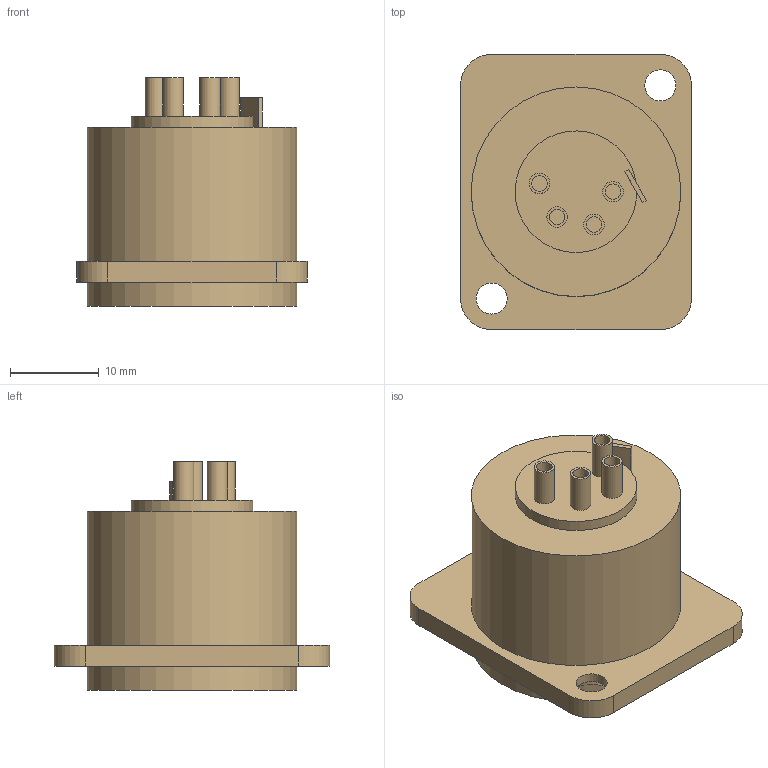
import cadquery as cq

FLANGE_WIDTH = 26.0
FLANGE_LENGTH = 31.0
FLANGE_THICKNESS = 2.35
CORNER_RADIUS = 3.5
SCREW_HOLE_DIAMETER = 3.5
COUNTERSINK_DIAMETER = 6.1
COUNTERSINK_ANGLE = 90.0

BODY_DIAMETER = 23.6
FRONT_LIP_HEIGHT = 2.7
BODY_TOP = 20.15

DISC_DIAMETER = 13.7
DISC_HEIGHT = 1.25
DISC_TOP = BODY_TOP + DISC_HEIGHT

OVERALL_HEIGHT = 25.7
CUP_HEIGHT = OVERALL_HEIGHT - DISC_TOP
CUP_DIAMETER = 2.3
CUP_BORE_DIAMETER = 1.75
CUP_CENTRES = [(-4.12, 0.93), (-2.13, -2.85), (2.03, -3.7), (4.17, 0.0)]

TAB_LENGTH = 4.0
TAB_THICKNESS = 0.5
TAB_HEIGHT = 3.3
TAB_CENTRE = (6.71, 0.64)
TAB_ANGLE = -60.0


def cylinder(diameter, bottom, top, centre=(0, 0)):
    """Upright cylinder between two heights."""
    return (
        cq.Workplane("XY", origin=(*centre, bottom))
        .circle(diameter / 2)
        .extrude(top - bottom)
    )


def make_flange():
    """Rounded plate with two diagonal screw holes, concentric with its corners and countersunk below."""
    hole_x = FLANGE_WIDTH / 2 - CORNER_RADIUS
    hole_y = FLANGE_LENGTH / 2 - CORNER_RADIUS
    plate = (
        cq.Workplane("XY")
        .rect(FLANGE_WIDTH, FLANGE_LENGTH)
        .extrude(FLANGE_THICKNESS)
        .edges("|Z")
        .fillet(CORNER_RADIUS)
    )
    drilled = (
        plate.faces("<Z")
        .workplane(origin=(0, 0, 0))
        .pushPoints([(hole_x, -hole_y), (-hole_x, hole_y)])
        .cskHole(SCREW_HOLE_DIAMETER, COUNTERSINK_DIAMETER, COUNTERSINK_ANGLE)
    )
    return drilled.translate((0, 0, FRONT_LIP_HEIGHT))


def make_solder_cup(centre):
    """Tube standing on the disc, open at the top."""
    cup = cylinder(CUP_DIAMETER, DISC_TOP, DISC_TOP + CUP_HEIGHT, centre)
    bore = cylinder(CUP_BORE_DIAMETER, DISC_TOP, DISC_TOP + CUP_HEIGHT, centre)
    return cup.cut(bore)


def make_ground_tab():
    """Slanted thin plate, partly sunk into the disc."""
    return (
        cq.Workplane("XY")
        .box(TAB_LENGTH, TAB_THICKNESS, TAB_HEIGHT, centered=(True, True, False))
        .rotate((0, 0, 0), (0, 0, 1), TAB_ANGLE)
        .translate((*TAB_CENTRE, BODY_TOP))
    )


result = make_flange()
result = result.union(cylinder(BODY_DIAMETER, 0, BODY_TOP))
result = result.union(cylinder(DISC_DIAMETER, BODY_TOP, DISC_TOP))
result = result.union(make_ground_tab())
for cup_centre in CUP_CENTRES:
    result = result.union(make_solder_cup(cup_centre))